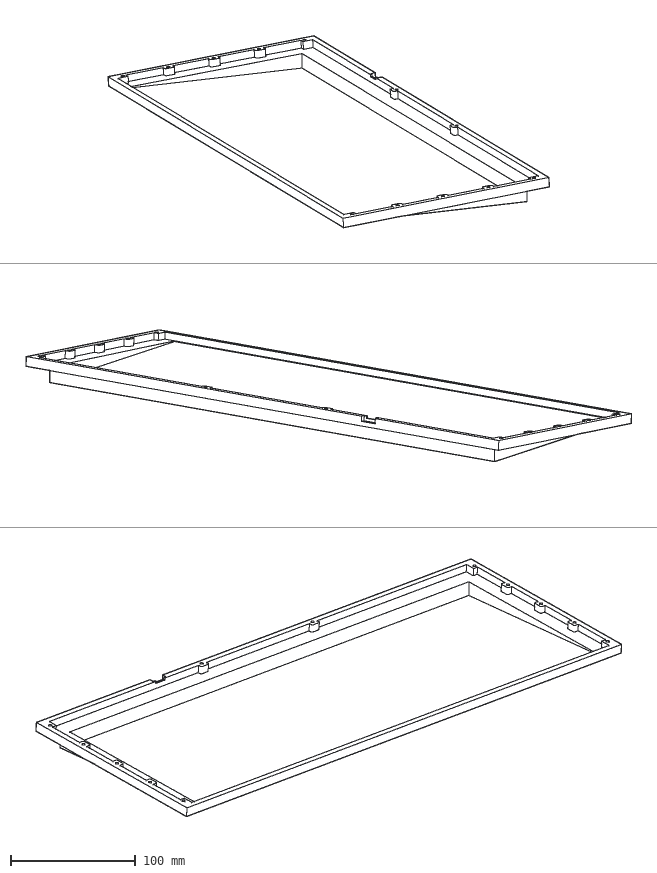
import cadquery as cq
import math

LENGTH = 470.0
DEPTH = 181.0
TRAY_HEIGHT = 8.0
TILT = 4.5
WALL = 5.0
FRONT_WALL = 4.5

CAVITY_TILT = 4.2
BACK_FLOOR = 1.5

WEDGE_INSET = 13.5
POCKET_INSET = 19.5
POCKET_FLOOR = 2.1

BOSS_WIDTH = 8.5
SIDE_BOSS_REACH = 9.5
BACK_BOSS_REACH = 8.5
CORNER_BOSS_REACH = 13.5
BOSS_FILLET = 1.25
SCREW_DIAMETER = 2.55
SCREW_HOLE_DEPTH = 5.0
SIDE_SCREW_SETBACK = 5.5
BACK_SCREW_SETBACK = 4.0
SIDE_SCREWS = 5
SIDE_SCREW_PITCH = 40.0
BACK_SCREW_SPACING = 120.0

NOTCH_CENTER = 129.5
NOTCH_WIDTH = 9.5
NOTCH_DEPTH = 2.0
RECESS_WIDTH = 13.5
RECESS_REACH = 3.8
RECESS_DEPTH = 4.0

TILT_RADIANS = math.radians(TILT)
TRAY_DEPTH = (DEPTH - TRAY_HEIGHT * math.sin(TILT_RADIANS)) / math.cos(TILT_RADIANS)
TRAY_BACK_Y = TRAY_DEPTH * math.cos(TILT_RADIANS)
CAVITY_BACK = TRAY_DEPTH - WALL


def block(x_range, y_range, z_range):
    """Box given by its lower and upper limit along each axis."""
    corner = (x_range[0], y_range[0], z_range[0])
    size = [limits[1] - limits[0] for limits in (x_range, y_range, z_range)]
    return cq.Workplane("XY").box(*size, centered=False).translate(corner)


def around(center, width):
    """Lower and upper limit of a stretch centred on a place."""
    return (center - width / 2, center + width / 2)


def side_screw_ys():
    first = TRAY_DEPTH / 2 - (SIDE_SCREWS - 1) / 2 * SIDE_SCREW_PITCH
    return [first + i * SIDE_SCREW_PITCH for i in range(SIDE_SCREWS)]


def back_screw_xs():
    return around(LENGTH / 2, BACK_SCREW_SPACING)


def screw_points():
    side_xs = (SIDE_SCREW_SETBACK, LENGTH - SIDE_SCREW_SETBACK)
    side_points = [(x, y) for x in side_xs for y in side_screw_ys()]
    back_points = [(x, TRAY_DEPTH - BACK_SCREW_SETBACK) for x in back_screw_xs()]
    return side_points + back_points


def bosses():
    """All bosses as full-height blocks that reach in from the outer faces of the walls."""
    height = (0, TRAY_HEIGHT)
    side_reaches = (
        ((0, SIDE_BOSS_REACH), ">X"),
        ((LENGTH - SIDE_BOSS_REACH, LENGTH), "<X"),
    )
    blocks = []
    for reach, inner_face in side_reaches:
        blocks.append(block(reach, (0, CORNER_BOSS_REACH), height))
        blocks.append(block(reach, (TRAY_DEPTH - CORNER_BOSS_REACH, TRAY_DEPTH), height))
        for y in side_screw_ys()[1:-1]:
            boss = block(reach, around(y, BOSS_WIDTH), height)
            blocks.append(boss.faces(inner_face).edges("|Z").fillet(BOSS_FILLET))
    for x in back_screw_xs():
        boss = block(around(x, BOSS_WIDTH), (TRAY_DEPTH - BACK_BOSS_REACH, TRAY_DEPTH), height)
        blocks.append(boss.faces("<Y").edges("|Z").fillet(BOSS_FILLET))
    body = blocks[0]
    for boss in blocks[1:]:
        body = body.union(boss)
    return body


def cavity():
    """Inside of the tray, leaning back from the tray about the rear edge of its floor."""
    inside = block((WALL, LENGTH - WALL), (FRONT_WALL, CAVITY_BACK), (BACK_FLOOR, 2 * TRAY_HEIGHT))
    rear_edge = ((0, CAVITY_BACK, BACK_FLOOR), (1, CAVITY_BACK, BACK_FLOOR))
    return inside.rotate(*rear_edge, CAVITY_TILT - TILT).cut(bosses())


def screw_holes():
    top = cq.Workplane("XY", origin=(0, 0, TRAY_HEIGHT))
    return top.pushPoints(screw_points()).circle(SCREW_DIAMETER / 2).extrude(-SCREW_HOLE_DEPTH)


def cable_notch():
    slot = block(
        around(NOTCH_CENTER, NOTCH_WIDTH),
        (CAVITY_BACK, TRAY_DEPTH),
        (TRAY_HEIGHT - NOTCH_DEPTH, TRAY_HEIGHT),
    )
    recess = block(
        around(NOTCH_CENTER, RECESS_WIDTH),
        (TRAY_DEPTH - RECESS_REACH, TRAY_DEPTH),
        (TRAY_HEIGHT - RECESS_DEPTH, TRAY_HEIGHT),
    )
    return slot.union(recess)


def tray():
    flat = block((0, LENGTH), (0, TRAY_DEPTH), (0, TRAY_HEIGHT))
    flat = flat.cut(cavity()).cut(screw_holes()).cut(cable_notch())
    return flat.rotate((0, 0, 0), (1, 0, 0), TILT)


def wedge(inset, front, bottom, roof_lift):
    """Level-bottomed body whose roof runs parallel to the tray's underside, `roof_lift` above it."""
    back = TRAY_BACK_Y - inset
    roof_front = front * math.tan(TILT_RADIANS) + roof_lift
    roof_back = back * math.tan(TILT_RADIANS) + roof_lift
    profile = [(front, bottom), (back, bottom), (back, roof_back), (front, roof_front)]
    side = cq.Workplane("YZ", origin=(inset, 0, 0))
    return side.polyline(profile).close().extrude(LENGTH - 2 * inset)


support = wedge(WEDGE_INSET, 0, 0, BACK_FLOOR / 2)
pocket = wedge(POCKET_INSET, FRONT_WALL, POCKET_FLOOR, TRAY_HEIGHT)
result = tray().union(support).cut(pocket)